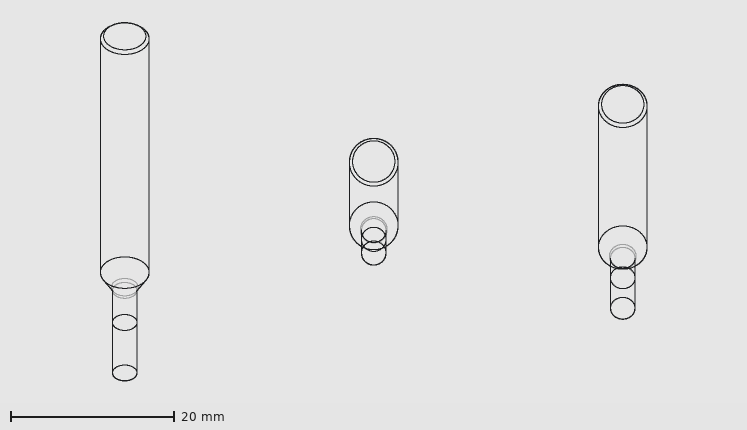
import cadquery as cq
import math

total_length = 54.0
shank_diameter = 6.0
neck_diameter = 3.0
tip_length = 8.1
taper_top = 16.1
taper_half_angle = 30.0
neck_fillet = 1.0
top_chamfer = 0.4

shank_radius = shank_diameter / 2
neck_radius = neck_diameter / 2
taper_angle = math.radians(taper_half_angle)
taper_bottom = taper_top - (shank_radius - neck_radius) / math.tan(taper_angle)

fillet_start = taper_bottom - neck_fillet * math.tan(taper_angle / 2)
fillet_center_radius = neck_radius + neck_fillet


def fillet_point(angle):
    """Point on the fillet arc, at an angle measured from its tangent point on the neck."""
    return (
        fillet_center_radius - neck_fillet * math.cos(angle),
        fillet_start + neck_fillet * math.sin(angle),
    )


def make_tip():
    """Plain cylindrical tip."""
    return cq.Workplane("XY").circle(neck_radius).extrude(tip_length)


def make_shank():
    """Revolved shank with a neck, a filleted taper and a chamfered top."""
    profile = (
        cq.Workplane("XZ")
        .moveTo(0, tip_length)
        .lineTo(neck_radius, tip_length)
        .lineTo(neck_radius, fillet_start)
        .threePointArc(fillet_point(taper_angle / 2), fillet_point(taper_angle))
        .lineTo(shank_radius, taper_top)
        .lineTo(shank_radius, total_length - top_chamfer)
        .lineTo(shank_radius - top_chamfer, total_length)
        .lineTo(0, total_length)
        .close()
    )
    return profile.revolve(360, (0, 0, 0), (0, 1, 0))


tip = make_tip()
shank = make_shank()

result = cq.Compound.makeCompound([tip.val(), shank.val()])